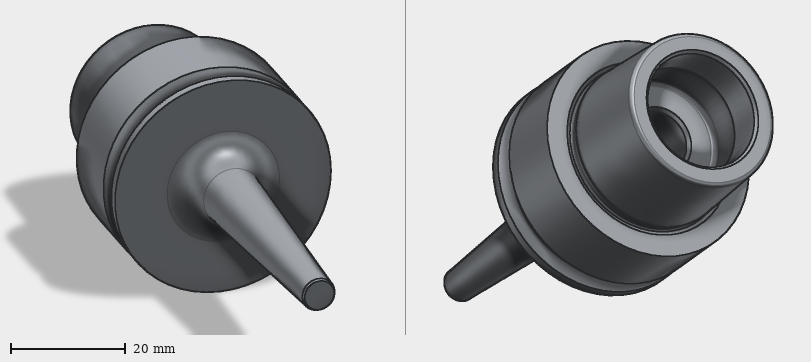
import cadquery as cq
import math

total_length = 90.0

taper_end = 17.9
taper_end_radius = 15.1
taper_slope = 1 / 20
mouth_fillet = 0.7

land_length = 0.5
neck_radius = 14.85

flange_radius = 20.0
flange_front = 20.0
flange_back = 40.0
undercut_radius = 16.0
undercut_depth = 0.315
undercut_fillet = 0.45

groove_center = 36.0
groove_width = 4.1
groove_flank_angle = math.radians(60)
groove_root_width = 1.9
groove_floor_radius = 17.55
groove_root_fillet = 0.45

shank_tip_radius = 3.0
shank_angle = math.radians(3)
shank_fillet = 5.0
tip_chamfer = 0.45
tip_chamfer_drop = 0.3

bore_radius = 10.5
bore_land_depth = 7.7
bore_chamfer = 0.5
chamber_radius = 11.0
chamber_fillet = 1.0
chamber_depth = 15.5
pocket_radius = 5.5
pocket_chamfer = 0.6
pocket_depth = 7.2


def turn(profile):
    """Close a half profile and turn it once around the X axis."""
    return profile.close().revolve(360, (0, 0, 0), (1, 0, 0))


def make_body():
    """Taper, neck, flange and shank as one solid, before the groove and bore are cut."""
    mouth_radius = taper_end_radius - taper_slope * taper_end
    land_end = taper_end + land_length
    neck_start = land_end + (taper_end_radius - neck_radius)
    undercut_floor = flange_front + undercut_depth

    blend_end = flange_back + shank_fillet * (1 - math.sin(shank_angle))
    blend_end_radius = shank_tip_radius + (total_length - blend_end) * math.tan(shank_angle)
    blend_start_radius = blend_end_radius + shank_fillet * math.cos(shank_angle)
    tip_start = total_length - tip_chamfer
    tip_start_radius = shank_tip_radius + tip_chamfer * math.tan(shank_angle)

    profile = (
        cq.Workplane("XY")
        .lineTo(0, mouth_radius)
        .lineTo(taper_end, taper_end_radius)
        .lineTo(land_end, taper_end_radius)
        .lineTo(neck_start, neck_radius)
        .lineTo(undercut_floor - undercut_fillet, neck_radius)
        .tangentArcPoint((undercut_floor, neck_radius + undercut_fillet), relative=False)
        .lineTo(flange_front, undercut_radius)
        .lineTo(flange_front, flange_radius)
        .lineTo(flange_back, flange_radius)
        .lineTo(flange_back, blend_start_radius)
        .tangentArcPoint((blend_end, blend_end_radius), relative=False)
        .lineTo(tip_start, tip_start_radius)
        .lineTo(total_length, tip_start_radius - tip_chamfer_drop)
        .lineTo(total_length, 0)
    )
    return turn(profile).faces("<X").edges().fillet(mouth_fillet)


def make_groove():
    """Ring that cuts the groove: V flanks above a straight-sided, round-cornered root."""
    flank_depth = (groove_width - groove_root_width) / 2 * math.tan(groove_flank_angle)
    flank_end_radius = flange_radius - flank_depth
    root_front = groove_center - groove_root_width / 2
    root_back = groove_center + groove_root_width / 2
    wall_end_radius = groove_floor_radius + groove_root_fillet

    profile = (
        cq.Workplane("XY")
        .moveTo(groove_center - groove_width / 2, flange_radius)
        .lineTo(root_front, flank_end_radius)
        .lineTo(root_front, wall_end_radius)
        .tangentArcPoint((root_front + groove_root_fillet, groove_floor_radius), relative=False)
        .lineTo(root_back - groove_root_fillet, groove_floor_radius)
        .tangentArcPoint((root_back, wall_end_radius), relative=False)
        .lineTo(root_back, flank_end_radius)
        .lineTo(groove_center + groove_width / 2, flange_radius)
    )
    return turn(profile)


def make_bore():
    """Chamfered bore, wider chamber with a rounded floor corner, and the floor pocket."""
    pocket_floor = chamber_depth + pocket_depth
    profile = (
        cq.Workplane("XY")
        .lineTo(0, bore_radius + bore_chamfer)
        .lineTo(bore_chamfer, bore_radius)
        .lineTo(bore_land_depth, bore_radius)
        .lineTo(bore_land_depth, chamber_radius)
        .lineTo(chamber_depth - chamber_fillet, chamber_radius)
        .tangentArcPoint((chamber_depth, chamber_radius - chamber_fillet), relative=False)
        .lineTo(chamber_depth, pocket_radius + pocket_chamfer)
        .lineTo(chamber_depth + pocket_chamfer, pocket_radius)
        .lineTo(pocket_floor, pocket_radius)
        .lineTo(pocket_floor, 0)
    )
    return turn(profile)


result = make_body().cut(make_groove()).cut(make_bore())